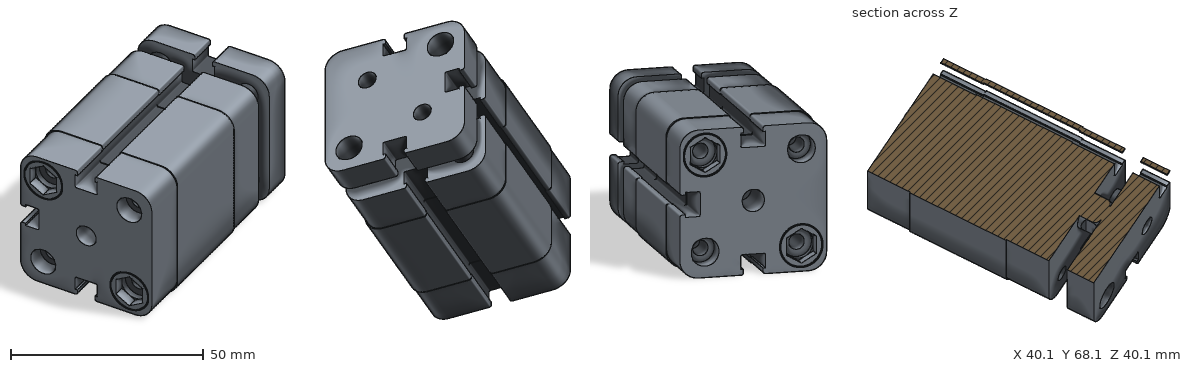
import cadquery as cq
import math

CAP_LENGTH = 12.8
TUBE_LENGTH = 29.0
GAP = 5.45
PLATE_THICKNESS = 8.0
TUBE_START = CAP_LENGTH
REAR_CAP_START = TUBE_START + TUBE_LENGTH
BODY_END = REAR_CAP_START + CAP_LENGTH
PLATE_START = BODY_END + GAP
PLATE_END = PLATE_START + PLATE_THICKNESS

TUBE_WIDTH = 40.1
CAP_WIDTH = 39.65
CORNER_RADIUS = 5.0

SLOT_DEPTH = 5.5
SLOT_WIDTH = 6.65
SLOT_MOUTH = 5.3
LIP_DEPTH = 1.55
LIP_RADIUS = 0.7
FLOOR_RADIUS = 0.5
SLOT_ANGLES = (0, 90, 180)

MOUNT_OFFSET = 13.0
SCREW_POINTS = ((-MOUNT_OFFSET, MOUNT_OFFSET), (MOUNT_OFFSET, -MOUNT_OFFSET))
PIN_POINTS = ((MOUNT_OFFSET, MOUNT_OFFSET), (-MOUNT_OFFSET, -MOUNT_OFFSET))
THROUGH_DIAMETER = 4.15

HEX_SIDES = 6
HEX_FLATS = 8.0
HEX_DEPTH = 3.0
RECESS_DIAMETER = HEX_FLATS
RECESS_DEPTH = 4.75
GROOVE_OUTER = 11.7
GROOVE_INNER = 11.1
GROOVE_DEPTH = 0.5

PIN_BORE_DIAMETER = 7.5
PIN_BORE_DEPTH = 4.75
PIN_HOLE_DEPTH = CAP_LENGTH
CENTER_HOLE_DIAMETER = 6.0
CENTER_HOLE_DEPTH = CAP_LENGTH

PLATE_HOLE_DIAMETER = 7.5
PLATE_SCREW_DIAMETER = 5.0
PLATE_SCREW_OFFSET = 7.8
PLATE_SCREW_POINTS = (
    (PLATE_SCREW_OFFSET, PLATE_SCREW_OFFSET),
    (-PLATE_SCREW_OFFSET, -PLATE_SCREW_OFFSET),
)

GUIDE_DIAMETER = 6.0
GUIDE_OFFSET = 13.45
GUIDE_POINTS = ((GUIDE_OFFSET, GUIDE_OFFSET), (-GUIDE_OFFSET, -GUIDE_OFFSET))
ROD_DIAMETER = 10.0
ROD_END_RADIUS = 1.5
ROD_FLATS = 8.0
ROD_FLAT_LENGTH = 3.4


def section(y):
    """Sketch plane at station y with local x = +X, local y = +Z and normal -Y."""
    return cq.Workplane("XZ", origin=(0, y, 0))


def cylinders(points, diameter, y_start, y_end):
    """Cylinders along +Y centred on the given (x, z) points."""
    return section(y_start).pushPoints(points).circle(diameter / 2).extrude(y_start - y_end)


def slot(width, y_start, y_end):
    """Lipped slot on the +Z side of a square section of the given width."""
    top = width / 2
    mouth = SLOT_MOUTH / 2
    half = SLOT_WIDTH / 2
    lip = top - LIP_DEPTH
    floor = top - SLOT_DEPTH
    arc_step = LIP_RADIUS * (1 - math.sqrt(0.5))
    profile = (
        section(y_start)
        .moveTo(-mouth - LIP_RADIUS, top)
        .threePointArc((-mouth - arc_step, top - arc_step), (-mouth, top - LIP_RADIUS))
        .lineTo(-mouth, lip)
        .lineTo(-half, lip)
        .lineTo(-half, floor)
        .lineTo(half, floor)
        .lineTo(half, lip)
        .lineTo(mouth, lip)
        .lineTo(mouth, top - LIP_RADIUS)
        .threePointArc((mouth + arc_step, top - arc_step), (mouth + LIP_RADIUS, top))
        .close()
        .extrude(y_start - y_end)
    )
    return profile.faces("<Z").edges("|Y").fillet(FLOOR_RADIUS)


def slotted_block(width, y_start, y_end):
    """Rounded square block with a sensor slot on three sides."""
    block = section(y_start).rect(width, width).extrude(y_start - y_end)
    block = block.edges("|Y").fillet(CORNER_RADIUS)
    cutter = slot(width, y_start, y_end)
    for angle in SLOT_ANGLES:
        block = block.cut(cutter.rotate((0, 0, 0), (0, 1, 0), -angle))
    return block


def hex_sockets():
    """Hexagon sockets, the round recesses behind them, ring grooves and through holes."""
    corner_diameter = 2 * HEX_FLATS / math.sqrt(3)
    hexagon = section(0).polygon(HEX_SIDES, corner_diameter).extrude(-HEX_DEPTH)
    hexagon = hexagon.rotate((0, 0, 0), (0, 1, 0), 90)
    grooves = cylinders(SCREW_POINTS, GROOVE_OUTER, 0, GROOVE_DEPTH).cut(
        cylinders(SCREW_POINTS, GROOVE_INNER, 0, GROOVE_DEPTH)
    )
    recesses = cylinders(SCREW_POINTS, RECESS_DIAMETER, HEX_DEPTH, RECESS_DEPTH)
    holes = cylinders(SCREW_POINTS, THROUGH_DIAMETER, 0, BODY_END)
    sockets = recesses.union(holes).union(grooves)
    for x, z in SCREW_POINTS:
        sockets = sockets.union(hexagon.translate((x, 0, z)))
    return sockets


def blind_holes():
    """Stepped holes at two corners and the plain hole in the middle of the front face."""
    bores = cylinders(PIN_POINTS, PIN_BORE_DIAMETER, 0, PIN_BORE_DEPTH)
    tips = cylinders(PIN_POINTS, THROUGH_DIAMETER, PIN_BORE_DEPTH, PIN_HOLE_DEPTH)
    center = cylinders([(0, 0)], CENTER_HOLE_DIAMETER, 0, CENTER_HOLE_DEPTH)
    return bores.union(tips).union(center)


def piston_rod():
    """Round rod with a rounded end and two wrench flats that run out at 45 degrees."""
    rod = cylinders([(0, 0)], ROD_DIAMETER, BODY_END, PLATE_START)
    rod = rod.faces(">Y").edges().fillet(ROD_END_RADIUS)
    flat = ROD_FLATS / 2
    runout = ROD_DIAMETER - flat
    flat_start = PLATE_START - ROD_FLAT_LENGTH
    flat_cut = (
        cq.Workplane("XY")
        .moveTo(flat, PLATE_START)
        .lineTo(flat, flat_start)
        .lineTo(flat + runout, flat_start - runout)
        .lineTo(flat + runout, PLATE_START)
        .close()
        .extrude(ROD_DIAMETER, both=True)
    )
    return rod.cut(flat_cut).cut(flat_cut.mirror("YZ"))


body = slotted_block(CAP_WIDTH, 0, TUBE_START)
body = body.union(slotted_block(TUBE_WIDTH, TUBE_START, REAR_CAP_START))
body = body.union(slotted_block(CAP_WIDTH, REAR_CAP_START, BODY_END))
body = body.cut(hex_sockets()).cut(blind_holes())

plate = slotted_block(CAP_WIDTH, PLATE_START, PLATE_END)
plate = plate.cut(cylinders(SCREW_POINTS, PLATE_HOLE_DIAMETER, PLATE_START, PLATE_END))
plate = plate.cut(cylinders(PLATE_SCREW_POINTS, PLATE_SCREW_DIAMETER, PLATE_START, PLATE_END))

guides = cylinders(GUIDE_POINTS, GUIDE_DIAMETER, BODY_END, PLATE_START)
result = body.union(guides).union(piston_rod()).union(plate)